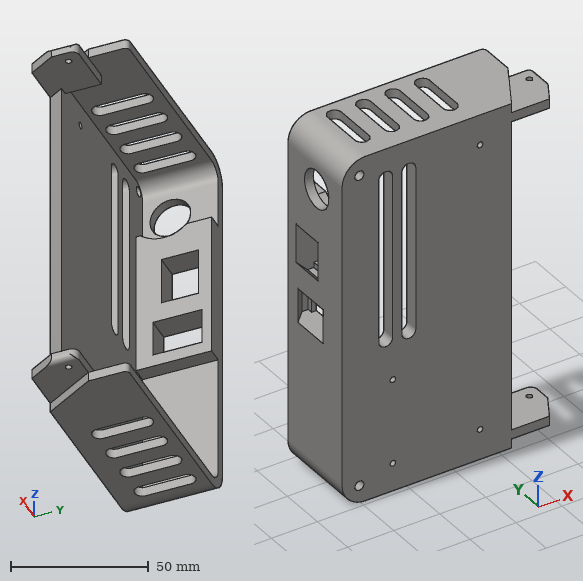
import cadquery as cq
import math

height = 150.0
depth = 36.0
wall_length = 85.2
plate_length = 73.5
front_thickness = 6.0
wall_thickness = 3.9
corner_radius = 10.0
wall_tip_radius = 2.0
inner_half_height = height / 2 - wall_thickness

slope = math.tan(math.radians(60))
slope_top_y = (wall_length - plate_length) * slope

ear_foot = 90.0
ear_reach = 96.0
ear_thickness = 4.0
ear_tip_radius = 3.0
ear_edge_radius = 2.1
ear_hole_x = 91.0
ear_hole_y = 15.0
ear_hole_diameter = 2.4

corner_hole_inset = 7.5
corner_hole_diameter = 3.9
corner_holes = [(corner_hole_inset, side * (height / 2 - corner_hole_inset)) for side in (1, -1)]
small_hole_diameter = 2.4
small_holes = [(59.8, 62.0), (59.8, -62.0), (22.0, -26.5), (22.0, -63.0)]

slot_width = 6.0
front_slot_length = 76.2
front_slot_x = 18.9
front_slot_z = 27.0
front_slot_pitch = 10.0
front_slot_count = 2
end_slot_length = 24.0
end_slot_x = 15.8
end_slot_y = 20.1
end_slot_pitch = 12.8
end_slot_count = 4

block_depth = 9.9
block_top = 45.5
block_bottom = -15.0
jack_length = 16.6
jack_width = 14.7
upper_jack_y = 23.4
upper_jack_z = 23.8
lower_jack_y = 21.0
lower_jack_z = -2.5

pocket_reach = 5.1
pocket_end = 7.8
mouth_reach = 2.8

round_opening_diameter = 16.0
round_opening_y = 17.0
round_opening_z = 54.9
clearance_diameter = 26.1


def box_between(start, end):
    """Box spanned by two opposite corners."""
    sizes = [b - a for a, b in zip(start, end)]
    return cq.Workplane("XY").box(*sizes, centered=False).translate(start)


def plan_prism(points, bottom, thickness):
    """Prism with an outline in x and y, rising from z = bottom."""
    return cq.Workplane("XY", origin=(0, 0, bottom)).polyline(points).close().extrude(thickness)


def bar_along_x(diameter, start, end):
    """Cylinder on the axis of the round opening."""
    plane = cq.Workplane("YZ", origin=(start, round_opening_y, round_opening_z))
    return plane.circle(diameter / 2).extrude(end - start)


def make_shell():
    outline = [
        (0, 0),
        (plate_length, 0),
        (wall_length, slope_top_y),
        (wall_length, depth),
        (0, depth),
    ]
    shell = plan_prism(outline, -height / 2, height)
    shell = shell.edges("|Y and <X").fillet(corner_radius)
    shell = shell.edges("|Z and >X and >Y").fillet(wall_tip_radius)
    cavity = box_between(
        (wall_thickness, front_thickness, -inner_half_height),
        (ear_reach, depth, inner_half_height),
    )
    cavity = cavity.edges("|Y and <X").fillet(corner_radius - wall_thickness)
    return shell.cut(cavity)


def make_upper_ear():
    outline = [
        (plate_length, 0),
        (ear_foot, 0),
        (ear_reach, (ear_reach - ear_foot) * slope),
        (ear_reach, slope_top_y),
        (plate_length, slope_top_y),
    ]
    ear = plan_prism(outline, inner_half_height - ear_thickness, ear_thickness)
    ear = ear.edges("|Z and >X and >Y").fillet(ear_tip_radius)
    rounded = box_between((0, 0, 0), (ear_reach, depth, inner_half_height))
    rounded = rounded.edges("|Y and >X and >Z").fillet(ear_edge_radius)
    hole = cq.Workplane("XY").center(ear_hole_x, ear_hole_y).circle(ear_hole_diameter / 2).extrude(height)
    return ear.intersect(rounded).cut(hole)


def make_jack_block():
    block = box_between((0, 0, block_bottom), (block_depth, depth, block_top))
    return block.cut(bar_along_x(clearance_diameter, wall_thickness, block_depth))


def make_jack_opening():
    """Opening centred on the origin, with its catch pocket on the +Y side."""
    edge = jack_length / 2
    outline = [
        (0, -edge),
        (block_depth, -edge),
        (block_depth, edge + mouth_reach),
        (pocket_end, edge + mouth_reach),
        (pocket_end, edge + pocket_reach),
        (pocket_reach, edge + pocket_reach),
        (0, edge),
    ]
    return plan_prism(outline, -jack_width / 2, jack_width)


def make_front_cutters():
    """Holes and slots that run along Y through the front plate."""
    plane = cq.Workplane("XZ", origin=(0, depth, 0))
    slot_places = [(front_slot_x + i * front_slot_pitch, front_slot_z) for i in range(front_slot_count)]
    return [
        plane.pushPoints(corner_holes).circle(corner_hole_diameter / 2).extrude(depth),
        plane.pushPoints(small_holes).circle(small_hole_diameter / 2).extrude(depth),
        plane.pushPoints(slot_places).slot2D(front_slot_length, slot_width, 90).extrude(depth),
    ]


def make_end_slots():
    """Slots that run along Z through both end walls."""
    plane = cq.Workplane("XY", origin=(0, 0, -height / 2))
    places = [(end_slot_x + i * end_slot_pitch, end_slot_y) for i in range(end_slot_count)]
    return plane.pushPoints(places).slot2D(end_slot_length, slot_width, 90).extrude(height)


upper_ear = make_upper_ear()
result = make_shell().union(make_jack_block()).union(upper_ear).union(upper_ear.mirror("XY"))

jack_opening = make_jack_opening()
upper_jack = jack_opening.rotate((0, 0, 0), (1, 0, 0), -90).translate((0, upper_jack_y, upper_jack_z))
lower_jack = jack_opening.translate((0, lower_jack_y, lower_jack_z))
round_opening = bar_along_x(round_opening_diameter, 0, block_depth)

for cutter in [*make_front_cutters(), make_end_slots(), upper_jack, lower_jack, round_opening]:
    result = result.cut(cutter)